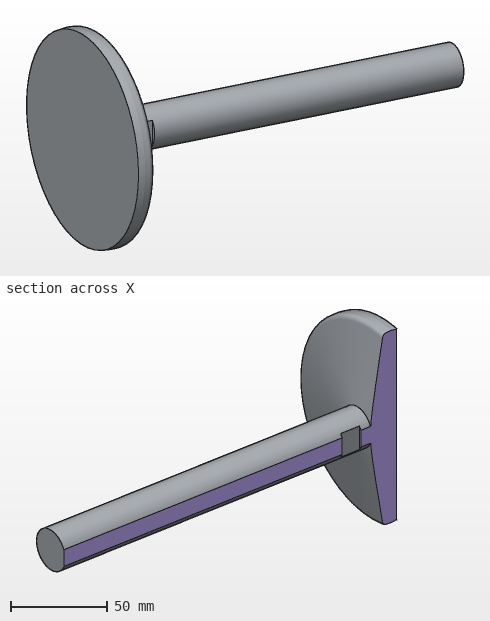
import cadquery as cq
import math

total_length = 222.0
foot_diameter = 118.0
stem_diameter = 24.0

sole_diameter = 117.2
lower_edge_height = 4.0
rim_top_diameter = 117.9
rim_top_height = 6.7
foot_height = 17.5
cone_angle = math.radians(10)

flats_start = 24.0
flats_length = 12.5
across_flats = 19.3

stem_radius = stem_diameter / 2
rim_top_radius = rim_top_diameter / 2

cone_height_at_rim = foot_height - math.tan(cone_angle) * (rim_top_radius - stem_radius)
shoulder_radius = (cone_height_at_rim - rim_top_height) / (
    1 / math.cos(cone_angle) - math.tan(cone_angle)
)
shoulder_center_x = rim_top_radius - shoulder_radius


def shoulder_point(angle):
    """Point on the shoulder arc, at an angle measured up from the rim."""
    x = shoulder_center_x + shoulder_radius * math.cos(angle)
    y = rim_top_height + shoulder_radius * math.sin(angle)
    return (x, y)


def make_body():
    """Foot and stem revolved from one half profile."""
    shoulder_sweep = math.pi / 2 - cone_angle
    profile = (
        cq.Workplane("XY")
        .moveTo(0, 0)
        .lineTo(sole_diameter / 2, 0)
        .lineTo(foot_diameter / 2, lower_edge_height)
        .lineTo(rim_top_radius, rim_top_height)
        .threePointArc(shoulder_point(shoulder_sweep / 2), shoulder_point(shoulder_sweep))
        .lineTo(stem_radius, foot_height)
        .lineTo(stem_radius, total_length)
        .lineTo(0, total_length)
        .close()
    )
    return profile.revolve(360, (0, 0, 0), (0, 1, 0))


def flat_cutter(side):
    """Block that removes the stem beyond one flat; side is -1 or 1 along X."""
    block_x = side * (across_flats + stem_diameter) / 2
    block_y = flats_start + flats_length / 2
    block = cq.Workplane("XY").box(stem_diameter, flats_length, stem_diameter)
    return block.translate((block_x, block_y, 0))


result = make_body()
for side in (-1, 1):
    result = result.cut(flat_cutter(side))